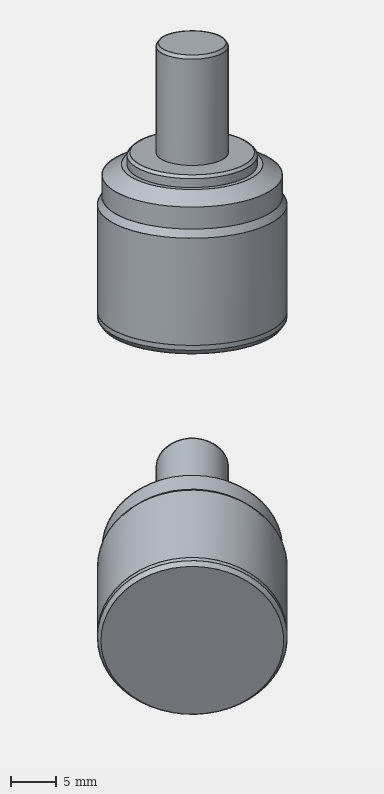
import cadquery as cq
import math

total_height = 32.97
body_diameter = 21.0

base_thickness = 1.15
base_chamfer_width = 0.4
base_chamfer_height = 0.55

sleeve_bevel_bottom = 13.85
sleeve_bevel_height = 0.9

core_diameter = 19.98
crown_top = 18.6
crown_diameter = 15.65
crown_height = (core_diameter - crown_diameter) / 2 * math.tan(math.radians(30))
collar_diameter = 14.45
collar_top = 19.98
collar_chamfer = 0.33
shaft_diameter = 8.0
shaft_chamfer_width = 0.25
shaft_chamfer_height = 0.4


def revolve_profile(points):
    """Revolve a closed (radius, height) outline around the Z axis."""
    return cq.Workplane("XZ").polyline(points).close().revolve(360, (0, 0), (0, 1))


def make_base_plate():
    """Disc with a steep chamfer around its bottom edge."""
    radius = body_diameter / 2
    return revolve_profile([
        (0, 0),
        (radius - base_chamfer_width, 0),
        (radius, base_chamfer_height),
        (radius, base_thickness),
        (0, base_thickness),
    ])


def make_sleeve():
    """Thin ring around the core, with its top beveled to a sharp inner edge."""
    outer_radius = body_diameter / 2
    inner_radius = core_diameter / 2
    return revolve_profile([
        (inner_radius, base_thickness),
        (outer_radius, base_thickness),
        (outer_radius, sleeve_bevel_bottom),
        (inner_radius, sleeve_bevel_bottom + sleeve_bevel_height),
    ])


def make_core():
    """Core with a conical crown, a chamfered collar and a chamfered shaft in one piece."""
    core_radius = core_diameter / 2
    collar_radius = collar_diameter / 2
    shaft_radius = shaft_diameter / 2
    return revolve_profile([
        (0, base_thickness),
        (core_radius, base_thickness),
        (core_radius, crown_top - crown_height),
        (crown_diameter / 2, crown_top),
        (collar_radius, crown_top),
        (collar_radius, collar_top - collar_chamfer),
        (collar_radius - collar_chamfer, collar_top),
        (shaft_radius, collar_top),
        (shaft_radius, total_height - shaft_chamfer_height),
        (shaft_radius - shaft_chamfer_width, total_height),
        (0, total_height),
    ])


base_plate = make_base_plate()
sleeve = make_sleeve()
core = make_core()

result = cq.Compound.makeCompound([base_plate.val(), sleeve.val(), core.val()])